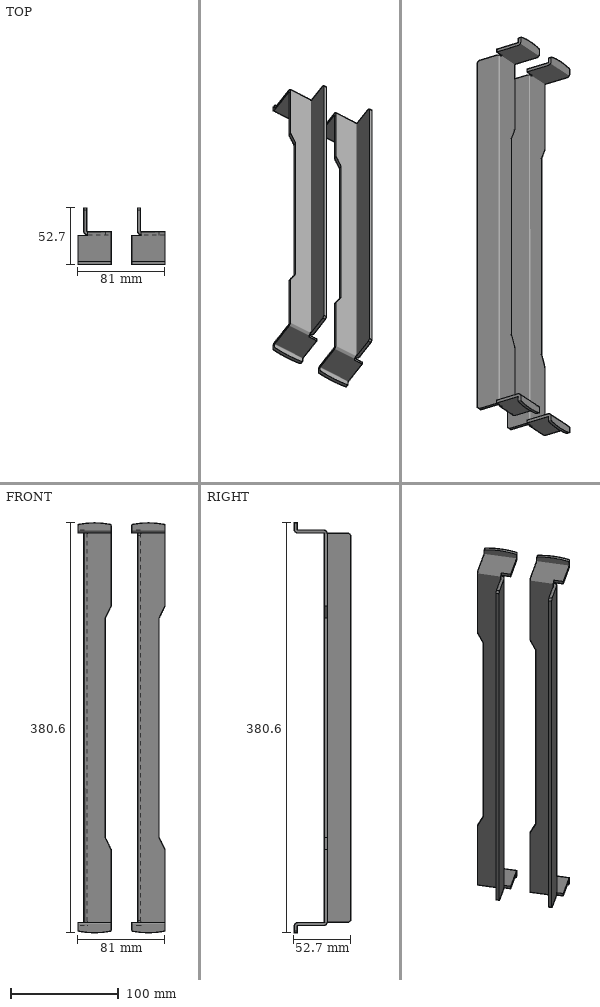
import cadquery as cq
import math


SHEET = 3.0
INNER_RADIUS = 0.5
OUTER_RADIUS = SHEET + INNER_RADIUS

BRACKET_COUNT = 2
TOTAL_WIDTH = 81.0
TOTAL_DEPTH = 52.66
TOTAL_HEIGHT = 380.6
TAB_WIDTH = 31.0
PITCH = (TOTAL_WIDTH - TAB_WIDTH) / (BRACKET_COUNT - 1)

FLANGE_DEPTH = 24.9
FLANGE_X = 5.3
FLANGE_FOLD_END_X = FLANGE_X + OUTER_RADIUS
FLANGE_CORNER_CHAMFER = 2.0

TAB_INNER_Z = 180.6
TAB_OUTER_Z = TAB_INNER_Z + SHEET
LIP_TOP_Z = TOTAL_HEIGHT / 2
LIP_FRONT_Y = FLANGE_DEPTH - TOTAL_DEPTH
LIP_BACK_Y = LIP_FRONT_Y + SHEET
LIP_CROWN_RISE = 1.6
LIP_CORNER_RADIUS = 1.5

RECESS_DEPTH = 5.5
RECESS_INNER_HALF = 101.8
RECESS_OUTER_HALF = 113.0


def quarter_arc(sketch, center, start, end, radius):
    """Draw a 90 degree arc from start to end about center."""
    toward_x = start[0] + end[0] - 2 * center[0]
    toward_y = start[1] + end[1] - 2 * center[1]
    scale = radius / math.hypot(toward_x, toward_y)
    middle = (center[0] + toward_x * scale, center[1] + toward_y * scale)
    return sketch.threePointArc(middle, end)


def web_tab_and_lip():
    """Upper half of the web, tab and lip, as one folded strip of full width."""
    web_fold = (-INNER_RADIUS, TAB_INNER_Z - INNER_RADIUS)
    lip_fold = (LIP_BACK_Y + INNER_RADIUS, TAB_OUTER_Z + INNER_RADIUS)

    strip = cq.Workplane("YZ").moveTo(0, 0).lineTo(SHEET, 0).lineTo(SHEET, web_fold[1])
    strip = quarter_arc(strip, web_fold, (SHEET, web_fold[1]), (web_fold[0], TAB_OUTER_Z), OUTER_RADIUS)
    strip = strip.lineTo(lip_fold[0], TAB_OUTER_Z)
    strip = quarter_arc(strip, lip_fold, (lip_fold[0], TAB_OUTER_Z), (LIP_BACK_Y, lip_fold[1]), INNER_RADIUS)
    strip = strip.lineTo(LIP_BACK_Y, LIP_TOP_Z).lineTo(LIP_FRONT_Y, LIP_TOP_Z).lineTo(LIP_FRONT_Y, lip_fold[1])
    strip = quarter_arc(strip, lip_fold, (LIP_FRONT_Y, lip_fold[1]), (lip_fold[0], TAB_INNER_Z), OUTER_RADIUS)
    strip = strip.lineTo(web_fold[0], TAB_INNER_Z)
    strip = quarter_arc(strip, web_fold, (web_fold[0], TAB_INNER_Z), (0, web_fold[1]), INNER_RADIUS)
    return strip.close().extrude(TAB_WIDTH)


def corner_relief():
    """Space left of the web, where only the flat of the tab remains."""
    size = (FLANGE_FOLD_END_X, INNER_RADIUS + SHEET, TAB_OUTER_Z)
    return cq.Workplane("XY").box(*size, centered=False).translate((0, -INNER_RADIUS, 0))


def flange():
    """Upper half of the flange and its fold into the web."""
    fold = (FLANGE_FOLD_END_X, OUTER_RADIUS)
    inner_x = FLANGE_X + SHEET
    profile = cq.Workplane("XY").moveTo(FLANGE_X, FLANGE_DEPTH).lineTo(FLANGE_X, fold[1])
    profile = quarter_arc(profile, fold, (FLANGE_X, fold[1]), (fold[0], 0), OUTER_RADIUS)
    profile = profile.lineTo(fold[0], SHEET)
    profile = quarter_arc(profile, fold, (fold[0], SHEET), (inner_x, fold[1]), INNER_RADIUS)
    profile = profile.lineTo(inner_x, FLANGE_DEPTH)
    plate = profile.close().extrude(TAB_INNER_Z)
    return plate.edges("|X and >Y and >Z").chamfer(FLANGE_CORNER_CHAMFER)


def crowned_outline():
    """Block whose crowned, round-cornered top shapes the free edge of the lip."""
    shoulder_z = LIP_TOP_Z - LIP_CROWN_RISE
    block = (
        cq.Workplane("XZ", origin=(0, FLANGE_DEPTH, 0))
        .lineTo(TAB_WIDTH, 0)
        .lineTo(TAB_WIDTH, shoulder_z)
        .threePointArc((TAB_WIDTH / 2, LIP_TOP_Z), (0, shoulder_z))
        .close()
        .extrude(TOTAL_DEPTH)
    )
    return block.edges("|Y").edges(">Z").fillet(LIP_CORNER_RADIUS)


def edge_recess():
    """Upper half of the recess in the right edge of the web, with a sloping end."""
    return (
        cq.Workplane("XZ", origin=(0, SHEET, 0))
        .moveTo(TAB_WIDTH, 0)
        .lineTo(TAB_WIDTH - RECESS_DEPTH, 0)
        .lineTo(TAB_WIDTH - RECESS_DEPTH, RECESS_INNER_HALF)
        .lineTo(TAB_WIDTH, RECESS_OUTER_HALF)
        .close()
        .extrude(SHEET)
    )


def bracket():
    """One complete bracket: the upper half joined to its mirror image."""
    upper = web_tab_and_lip().cut(corner_relief()).union(flange())
    upper = upper.intersect(crowned_outline()).cut(edge_recess())
    return upper.union(upper.mirror("XY")).clean()


brackets = []
for index in range(BRACKET_COUNT):
    brackets.append(bracket().translate((index * PITCH, 0, 0)))

result = cq.Compound.makeCompound([item.val() for item in brackets])